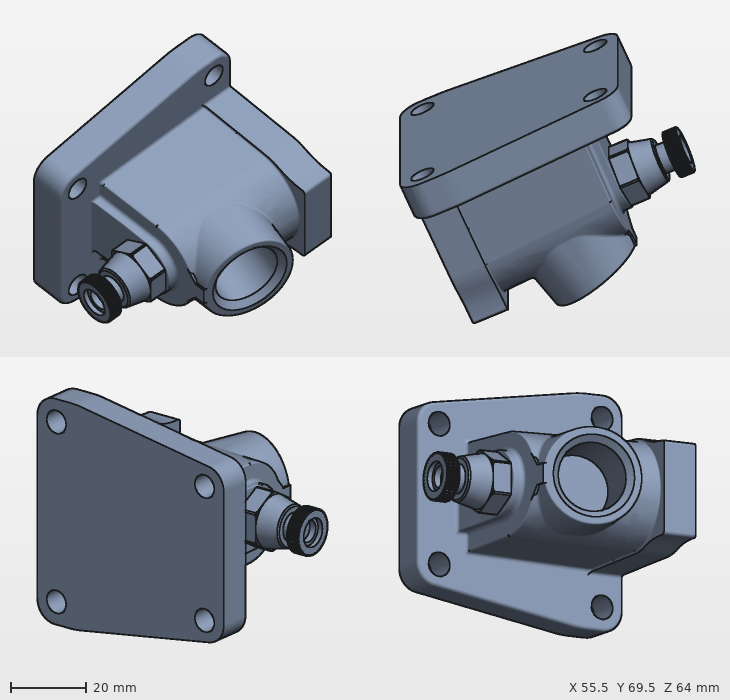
import cadquery as cq
import math

plate_thickness = 10.0
plate_width = 63.0
plate_half_height = 32.0
plate_corner_radius = 6.0
plate_bend_radius = 25.0
plate_slope = math.radians(8.95)
plate_edge_fillet = 1.0
hole_diameter = 6.5
hole_wide_y, hole_wide_z = -6.5, 25.5
hole_narrow_y, hole_narrow_z = -56.5, 19.0

flange_thickness = 10.0
body_back_y = -flange_thickness
body_front_y = -48.0
body_back_root_half, body_back_bend_half = 15.6, 14.8
body_back_bend_x, body_back_nose_x = 33.7, 46.6
body_front_root_half, body_front_bend_half = 14.8, 14.1
body_front_bend_x = 30.8
front_draft_end_x, front_draft_end_y = 48.5, -47.2
body_edge_fillet = 0.4
loft_overlap = 1.0
foot_fillet = 1.0
step_fillet = 0.4

flange_length_x = 48.5
flange_root_half_height = 16.3
flange_bend_x, flange_bend_half_height = 33.5, 15.5
flange_inflection_x, flange_inflection_half_height = 38.4, 14.42
flange_flat_x, flange_end_half_height = 46.6, 12.8
flange_edge_fillet = 0.5
flange_corner_fillet = 1.0

socket_radius = 13.25
socket_tilt = 15.0
socket_face_x, socket_face_y = 52.23, -33.7
socket_reach = 24.0
socket_rim_fillet = 0.5
bore_diameter = 18.63
bore_depth = 20.0
bore_chamfer = 1.85
rib_half_width = 2.7
rib_flare_x, rib_flare_half_width = 42.2, 6.8
rib_neck_x = 45.6

screw_x = 30.0
boss_radius = 9.0
boss_root_half_height = 9.5
boss_face_y = -50.5
boss_root_y = -50.85
boss_flat_start_x = 21.0
boss_edge_fillet = 0.3
hex_across_flats = 15.0
hex_across_corners = 17.0
hex_end_chamfer = 0.3
hex_end_y = -56.0
cone_end_y = -62.5
cone_end_diameter = 12.0
cone_edge_chamfer = 0.4
stem_diameter = 8.0
knob_diameter = 13.0
knob_start_y, knob_end_y = -65.5, -69.5
knob_edge_chamfer = 0.25
knurl_count = 40
knurl_depth = 0.4
knurl_width = 0.6
recess_diameter, recess_depth = 8.0, 1.5
pocket_diameter, pocket_depth = 6.0, 3.5

root_x = plate_thickness / 2
tolerance = 0.05


def xz_plane(y):
    """Plane at height y whose local axes are X and Z and whose normal is -Y."""
    return cq.Workplane("XZ", origin=(0, y, 0))


def line_value(x, x0, v0, x1, v1):
    """Value at x of the straight line through (x0, v0) and (x1, v1)."""
    return v0 + (v1 - v0) * (x - x0) / (x1 - x0)


def edges_near(part, x_range, y_range, z_range):
    """Edges whose centres lie inside the given box, for |z| within z_range."""
    found = []
    for edge in part.edges().vals():
        centre = edge.Center()
        inside_xy = x_range[0] < centre.x < x_range[1] and y_range[0] < centre.y < y_range[1]
        if inside_xy and z_range[0] <= abs(centre.z) < z_range[1]:
            found.append(edge)
    return part.newObject(found)


def make_plate():
    """Symmetric plate whose sides taper towards -Y between rounded corners."""
    r = plate_corner_radius
    sin_s, cos_s = math.sin(plate_slope), math.cos(plate_slope)
    narrow_y = r - plate_width
    tangent_y = narrow_y - r * sin_s
    tangent_z = hole_narrow_z + r * cos_s
    bend_y = tangent_y + (plate_half_height - tangent_z) / math.tan(plate_slope)
    bend_length = plate_bend_radius * math.tan(plate_slope / 2)
    bend_mid_z = plate_half_height - plate_bend_radius * (1 - math.cos(plate_slope / 2))
    bend_mid_y = bend_y + bend_length - plate_bend_radius * math.sin(plate_slope / 2)
    corner_mid = math.pi / 4
    narrow_mid = (math.pi / 2 + plate_slope + math.pi) / 2

    half = (
        cq.Workplane("YZ")
        .moveTo(0, 0)
        .lineTo(0, plate_half_height - r)
        .threePointArc(
            (-r + r * math.cos(corner_mid), plate_half_height - r + r * math.sin(corner_mid)),
            (-r, plate_half_height),
        )
        .lineTo(bend_y + bend_length, plate_half_height)
        .threePointArc(
            (bend_mid_y, bend_mid_z),
            (bend_y - bend_length * cos_s, plate_half_height - bend_length * sin_s),
        )
        .lineTo(tangent_y, tangent_z)
        .threePointArc(
            (narrow_y + r * math.cos(narrow_mid), hole_narrow_z + r * math.sin(narrow_mid)),
            (-plate_width, hole_narrow_z),
        )
        .lineTo(-plate_width, 0)
        .close()
        .extrude(plate_thickness)
    )
    plate = half.union(half.mirror("XY")).clean()
    return plate.faces(">X").edges().fillet(plate_edge_fillet)


def drill_plate(part):
    """Four mounting holes through the plate."""
    centres = [
        (y, side * z)
        for y, z in ((hole_wide_y, hole_wide_z), (hole_narrow_y, hole_narrow_z))
        for side in (1, -1)
    ]
    drills = cq.Workplane("YZ").pushPoints(centres).circle(hole_diameter / 2).extrude(plate_thickness)
    return part.cut(drills)


def u_outline(plane, root_half, bend_x, bend_half, nose_x):
    """Tapering U: two straight legs closed by an arc through the nose."""
    start_half = line_value(root_x, plate_thickness, root_half, bend_x, bend_half)
    return (
        plane.moveTo(root_x, -start_half)
        .lineTo(bend_x, -bend_half)
        .threePointArc((nose_x, 0), (bend_x, bend_half))
        .lineTo(root_x, start_half)
        .close()
    )


def tangent_nose(root_half, bend_x, bend_half):
    """X of the nose when the closing arc of a U is tangent to its legs."""
    taper = math.atan((root_half - bend_half) / (bend_x - plate_thickness))
    return bend_x + bend_half * (1 / math.cos(taper) - math.tan(taper))


def front_wall_y(x):
    """Y of the drafted front wall at x."""
    return line_value(x, plate_thickness, body_front_y, front_draft_end_x, front_draft_end_y)


def make_body():
    """Lofted U-shaped block, trimmed to the drafted front wall."""
    front_nose_x = tangent_nose(body_front_root_half, body_front_bend_x, body_front_bend_half)
    back = u_outline(
        xz_plane(body_back_y + loft_overlap),
        body_back_root_half,
        body_back_bend_x,
        body_back_bend_half,
        body_back_nose_x,
    )
    front = u_outline(
        xz_plane(body_front_y - loft_overlap),
        body_front_root_half,
        body_front_bend_x,
        body_front_bend_half,
        front_nose_x,
    )
    wires = [back.wires().val(), front.wires().val()]
    body = cq.Workplane(cq.Solid.makeLoft(wires, True))
    trim = (
        cq.Workplane("XY", origin=(0, 0, -2 * plate_half_height))
        .moveTo(0, front_wall_y(0))
        .lineTo(2 * flange_length_x, front_wall_y(2 * flange_length_x))
        .lineTo(2 * flange_length_x, -2 * plate_width)
        .lineTo(0, -2 * plate_width)
        .close()
        .extrude(4 * plate_half_height)
    )
    body = body.cut(trim)
    return body.faces("<Y").edges("not <X").fillet(body_edge_fillet)


def make_flange():
    """Thick end of the body; each side is a leg, a convex arc, a concave arc and a flat."""
    start_half = line_value(
        root_x, plate_thickness, flange_root_half_height, flange_bend_x, flange_bend_half_height
    )
    half = (
        xz_plane(0)
        .moveTo(flange_length_x, 0)
        .lineTo(flange_length_x, flange_end_half_height)
        .lineTo(flange_flat_x, flange_end_half_height)
        .tangentArcPoint((flange_inflection_x, flange_inflection_half_height), relative=False)
        .tangentArcPoint((flange_bend_x, flange_bend_half_height), relative=False)
        .lineTo(root_x, start_half)
        .lineTo(root_x, 0)
        .close()
        .extrude(flange_thickness)
    )
    flange = half.union(half.mirror("XY")).clean()
    flange = flange.edges("|Y and >X").fillet(flange_corner_fillet)
    return flange.edges("(not <X) and >Y").fillet(flange_edge_fillet)


def socket_plane():
    """Plane of the socket face; local X is Z and the normal is the bore axis."""
    tilt = math.radians(socket_tilt)
    return cq.Plane(
        origin=(socket_face_x, socket_face_y, 0),
        xDir=(0, 0, 1),
        normal=(math.cos(tilt), -math.sin(tilt), 0),
    )


def make_rib():
    """Web that carries the front wall on to the rim of the socket, flared into the body nose."""
    rim_slope = math.tan(math.radians(socket_tilt))
    rim_x = socket_face_x + (front_draft_end_y - socket_face_y) * rim_slope
    side = (
        cq.Workplane("XY", origin=(0, 0, -rib_flare_half_width))
        .moveTo(screw_x, front_wall_y(screw_x))
        .lineTo(rim_x, front_wall_y(rim_x))
        .lineTo(socket_face_x, socket_face_y)
        .lineTo(screw_x, socket_face_y)
        .close()
        .extrude(2 * rib_flare_half_width)
    )
    width = (
        xz_plane(0)
        .moveTo(screw_x, rib_flare_half_width)
        .lineTo(rib_flare_x, rib_flare_half_width)
        .lineTo(rib_neck_x, rib_half_width)
        .lineTo(socket_face_x, rib_half_width)
        .lineTo(socket_face_x, -rib_half_width)
        .lineTo(rib_neck_x, -rib_half_width)
        .lineTo(rib_flare_x, -rib_flare_half_width)
        .lineTo(screw_x, -rib_flare_half_width)
        .close()
        .extrude(plate_width)
    )
    return side.intersect(width)


def make_socket():
    """Tilted half cylinder and, on the front wall side, a half cylinder along X, joined by a wedge."""
    tilt = math.radians(socket_tilt)
    back_x = socket_face_x - socket_reach * math.cos(tilt)
    back_y = socket_face_y + socket_reach * math.sin(tilt)
    tilted_half = (
        cq.Workplane(socket_plane())
        .moveTo(-socket_radius, 0)
        .threePointArc((0, -socket_radius), (socket_radius, 0))
        .close()
        .extrude(-socket_reach)
    )
    level_half = (
        cq.Workplane("YZ", origin=(back_x, socket_face_y, 0))
        .moveTo(0, -socket_radius)
        .threePointArc((-socket_radius, 0), (0, socket_radius))
        .close()
        .extrude(socket_reach)
    )
    cutter_side = 4 * socket_radius
    beyond_face = cq.Workplane(socket_plane()).rect(cutter_side, cutter_side).extrude(socket_reach)
    wedge = (
        cq.Workplane("XY", origin=(0, 0, -socket_radius))
        .moveTo(socket_face_x, socket_face_y)
        .lineTo(back_x, back_y)
        .lineTo(back_x, socket_face_y)
        .close()
        .extrude(2 * socket_radius)
    )
    socket = wedge.union(tilted_half).union(level_half.cut(beyond_face)).clean()
    return socket.faces(">X").edges().fillet(socket_rim_fillet)


def cut_bore(part):
    """Blind socket bore with a chamfered mouth."""
    bore = cq.Workplane(socket_plane()).circle(bore_diameter / 2).extrude(-bore_depth)
    mouth = (
        cq.Workplane(socket_plane())
        .circle(bore_diameter / 2 + bore_chamfer)
        .workplane(offset=-bore_chamfer)
        .circle(bore_diameter / 2)
        .loft()
    )
    return part.cut(bore).cut(mouth)


def make_boss():
    """U-shaped pad on the front wall, flat around the screw and sloped near the plate."""
    nose_x = tangent_nose(boss_root_half_height, screw_x, boss_radius)
    outline = u_outline(xz_plane(body_back_y), boss_root_half_height, screw_x, boss_radius, nose_x)
    boss = outline.extrude(body_back_y - boss_root_y)
    root_line_y = line_value(0, boss_flat_start_x, boss_face_y, plate_thickness, boss_root_y)
    trim = (
        cq.Workplane("XY", origin=(0, 0, -plate_half_height))
        .moveTo(0, root_line_y)
        .lineTo(boss_flat_start_x, boss_face_y)
        .lineTo(2 * screw_x, boss_face_y)
        .lineTo(2 * screw_x, -plate_width)
        .lineTo(0, -plate_width)
        .close()
        .extrude(2 * plate_half_height)
    )
    return boss.cut(trim)


def rod(diameter, start_y, end_y):
    """Cylinder on the screw axis."""
    return xz_plane(start_y).center(screw_x, 0).circle(diameter / 2).extrude(start_y - end_y)


def make_knob():
    """Knurled disc with evenly spaced V grooves."""
    knob = rod(knob_diameter, knob_start_y, knob_end_y).edges().chamfer(knob_edge_chamfer)
    radius = knob_diameter / 2
    groove = (
        xz_plane(knob_start_y)
        .moveTo(radius - knurl_depth, 0)
        .lineTo(radius, knurl_width / 2)
        .lineTo(radius + knurl_depth, knurl_width / 2)
        .lineTo(radius + knurl_depth, -knurl_width / 2)
        .lineTo(radius, -knurl_width / 2)
        .close()
        .extrude(knob_start_y - knob_end_y)
    )
    grooves = []
    for i in range(knurl_count):
        turned = groove.rotate((0, 0, 0), (0, 1, 0), 360 * i / knurl_count)
        grooves.append(turned.translate((screw_x, 0, 0)).val())
    return cq.Workplane(knob.val().cut(*grooves))


def make_screw():
    """Hexagon, cone, stem and recessed knob on one axis."""
    hex_nut = (
        xz_plane(boss_face_y)
        .center(screw_x, 0)
        .polygon(6, hex_across_flats, circumscribed=True)
        .extrude(boss_face_y - hex_end_y)
    )
    blank = rod(hex_across_corners, boss_face_y, hex_end_y).faces("<Y").edges().chamfer(hex_end_chamfer)
    hex_nut = hex_nut.intersect(blank)
    cone = (
        xz_plane(hex_end_y)
        .center(screw_x, 0)
        .circle(hex_across_flats / 2)
        .workplane(offset=hex_end_y - cone_end_y)
        .circle(cone_end_diameter / 2)
        .loft()
        .faces("<Y")
        .edges()
        .chamfer(cone_edge_chamfer)
    )
    stem = rod(stem_diameter, cone_end_y, knob_start_y)
    screw = hex_nut.union(cone).union(stem).union(make_knob())
    recess = rod(recess_diameter, knob_end_y + recess_depth, knob_end_y)
    pocket = rod(pocket_diameter, knob_end_y + pocket_depth, knob_end_y)
    return screw.cut(recess).cut(pocket)


def blend_boss(housing):
    """Fillet where the boss rises from the front wall."""
    wall_band = (front_wall_y(0) - tolerance, front_wall_y(screw_x + boss_radius) + tolerance)
    foot = edges_near(
        housing, (plate_thickness, screw_x + boss_radius - foot_fillet), wall_band, (0, boss_root_half_height)
    )
    return foot.fillet(foot_fillet)


def blend_socket(housing):
    """Fillet where the socket leaves the body nose; it runs on along tangent edges."""
    foot = edges_near(
        housing,
        (screw_x + boss_radius, socket_face_x - socket_radius / 2),
        (socket_face_y - socket_radius, socket_face_y + socket_radius),
        (0, socket_radius / 2),
    )
    return foot.fillet(foot_fillet)


def blend_flange(housing):
    """Fillet in the step between the body and the flange."""
    band = (body_back_y - tolerance, body_back_y + tolerance)
    step_middle = (body_back_bend_half + flange_root_half_height) / 2
    legs = edges_near(housing, (plate_thickness, screw_x), band, (body_back_bend_half, step_middle))
    nose = edges_near(housing, (screw_x, body_back_nose_x), band, (0, body_back_bend_half / 2))
    return housing.newObject(legs.vals() + nose.vals()).fillet(step_fillet)


def blend_plate(part):
    """Fillet where the body stands on the plate."""
    foot = edges_near(
        part,
        (plate_thickness - tolerance, plate_thickness + tolerance),
        (boss_root_y - tolerance, -plate_edge_fillet - tolerance),
        (0, flange_root_half_height + tolerance),
    )
    return foot.fillet(foot_fillet)


def round_boss_face(part):
    """Small round along the rim of the flat boss face."""
    face_band = (boss_root_y, boss_face_y + tolerance)
    rim = edges_near(
        part,
        (boss_flat_start_x + tolerance, screw_x + boss_radius),
        face_band,
        (0, boss_radius + tolerance),
    )
    return rim.fillet(boss_edge_fillet)


housing = blend_boss(make_body().union(make_boss()))
housing = blend_socket(housing.union(make_socket())).union(make_rib())
housing = blend_flange(housing.union(make_flange()))
part = blend_plate(make_plate().union(housing))
part = round_boss_face(part)
part = cut_bore(drill_plate(part))
result = part.union(make_screw())